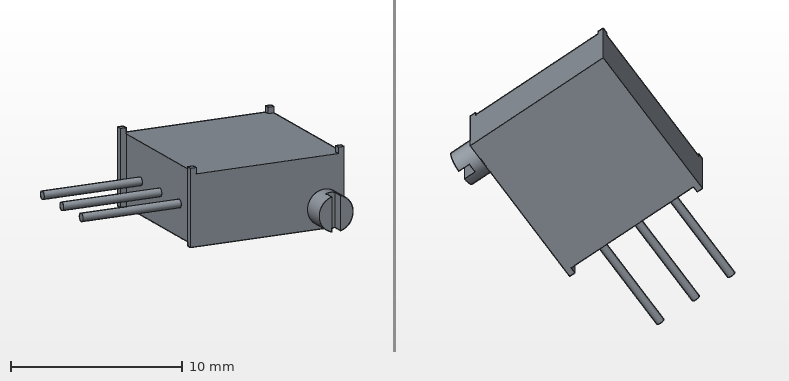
import cadquery as cq

case_length = 9.52
block_depth = 10.03
overall_height = 4.83
post_size = 0.39
case_depth = block_depth - post_size
case_height = overall_height - post_size

pin_diameter = 0.51
pin_length = 6.02
pin_pitch = 2.54
middle_pin_x = case_length / 2
pin_z = 2.05

screw_diameter = 2.21
screw_length = 1.52
screw_y = 8.75
screw_z = 1.3
slot_width = 0.58
slot_depth = screw_length / 2


def make_case():
    """Plain block set back from the front posts."""
    return cq.Workplane("XY").box(case_length, case_depth, case_height, centered=False).translate(
        (0, post_size, 0)
    )


def make_post(x, y):
    """Square standoff post running the full height of the part."""
    return cq.Workplane("XY").box(post_size, post_size, overall_height, centered=False).translate((x, y, 0))


def make_pin(x):
    """Round pin leaving the front face of the case toward -Y."""
    return (
        cq.Workplane("XZ", origin=(x, post_size, pin_z))
        .circle(pin_diameter / 2)
        .extrude(pin_length + post_size)
    )


def make_screw():
    """Round screw head on the +X side with a slot across its end."""
    root = cq.Workplane("YZ", origin=(case_length, screw_y, screw_z))
    screw = root.circle(screw_diameter / 2).extrude(screw_length)
    slot = (
        root.workplane(offset=screw_length - slot_depth)
        .rect(slot_width, screw_diameter)
        .extrude(slot_depth)
    )
    return screw.cut(slot)


result = make_case()
for post_x in (0, case_length - post_size):
    for post_y in (0, block_depth - post_size):
        result = result.union(make_post(post_x, post_y))
for pin_index in (-1, 0, 1):
    result = result.union(make_pin(middle_pin_x + pin_index * pin_pitch))
result = result.union(make_screw())